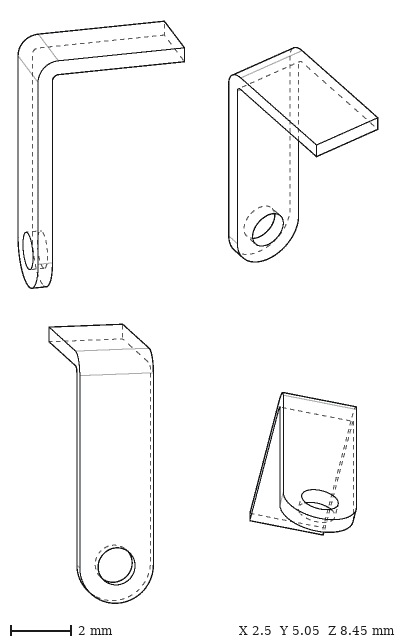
import cadquery as cq

width = 2.5
thickness = 0.5
flange_length = 5.05
leg_height = 8.45
inner_bend_radius = 0.2
hole_diameter = 1.25

outer_bend_radius = inner_bend_radius + thickness
end_radius = width / 2
hole_height = end_radius


def bent_strip():
    """L-shaped strip with a rounded bend, its front face on Y = 0 and its lower end on Z = 0."""
    inner_height = leg_height - thickness
    square_strip = (
        cq.Workplane("YZ")
        .moveTo(0, 0)
        .lineTo(0, leg_height)
        .lineTo(flange_length, leg_height)
        .lineTo(flange_length, inner_height)
        .lineTo(thickness, inner_height)
        .lineTo(thickness, 0)
        .close()
        .extrude(width / 2, both=True)
    )
    outer_corner = cq.selectors.NearestToPointSelector((0, 0, leg_height))
    inner_corner = cq.selectors.NearestToPointSelector((0, thickness, inner_height))
    rounded_outside = square_strip.edges(outer_corner).fillet(outer_bend_radius)
    return rounded_outside.edges(inner_corner).fillet(inner_bend_radius)


def round_ended_envelope():
    """Block as wide as the strip, with a half-round lower end and a concentric through hole."""
    block = (
        cq.Workplane("XZ")
        .moveTo(-end_radius, end_radius)
        .threePointArc((0, 0), (end_radius, end_radius))
        .lineTo(end_radius, leg_height)
        .lineTo(-end_radius, leg_height)
        .close()
        .extrude(-flange_length)
    )
    hole = (
        cq.Workplane("XZ")
        .center(0, hole_height)
        .circle(hole_diameter / 2)
        .extrude(-flange_length)
    )
    return block.cut(hole)


result = bent_strip().intersect(round_ended_envelope())